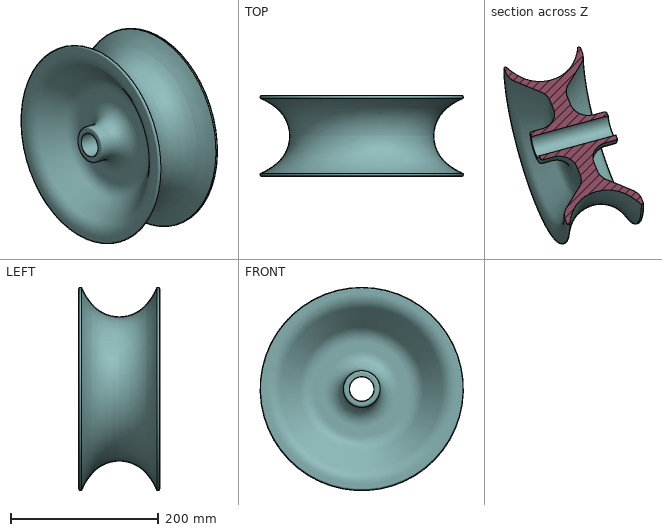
import cadquery as cq
import math


RIM_RADIUS = 138.0
HALF_WIDTH = 110.0 / 2
RIM_EDGE_FILLET = 2.5
RIM_ROUND_OVERRUN = math.radians(35)

GROOVE_FLOOR_RADIUS = 98.0
GROOVE_FLOOR_ARC_RADIUS = 49.0
GROOVE_FLOOR_HALF_WIDTH = 37.0

WEB_HALF_THICKNESS = 12.5
DISH_FILLET = 25.0
DISH_MOUTH_RADIUS = 128.5
DISH_WALL_ANGLE = math.radians(45)

HUB_RADIUS = 25.0
HUB_EDGE_FILLET = 3.0
HUB_ROOT_FILLET = 25.0
BORE_RADIUS = 16.5

SECTION_PLANE = cq.Plane(origin=(0, 0, 0), xDir=(0, 0, 1), normal=(-1, 0, 0))


def on_arc(center, radius, angle):
    """Point (radial, axial) on a circle, at an angle from the radial direction."""
    return (center[0] + radius * math.cos(angle), center[1] + radius * math.sin(angle))


def half_profile():
    """Open outline of the Y > 0 half of the section, from the bore round to the groove floor."""
    right_angle = math.pi / 2

    hub_edge_center = (HUB_RADIUS - HUB_EDGE_FILLET, HALF_WIDTH - HUB_EDGE_FILLET)
    hub_root_center = (HUB_RADIUS + HUB_ROOT_FILLET, WEB_HALF_THICKNESS + HUB_ROOT_FILLET)

    mouth_center = (DISH_MOUTH_RADIUS, HALF_WIDTH - DISH_FILLET)
    mouth_wall_angle = right_angle + DISH_WALL_ANGLE
    mouth_wall = on_arc(mouth_center, DISH_FILLET, mouth_wall_angle)
    root_wall_height = WEB_HALF_THICKNESS + DISH_FILLET * (1 - math.cos(DISH_WALL_ANGLE))
    root_wall_radius = mouth_wall[0] - (mouth_wall[1] - root_wall_height) / math.tan(DISH_WALL_ANGLE)
    root_center = (
        root_wall_radius - DISH_FILLET * math.sin(DISH_WALL_ANGLE),
        WEB_HALF_THICKNESS + DISH_FILLET,
    )
    root_wall_angle = DISH_WALL_ANGLE - right_angle

    rim_edge_center = (RIM_RADIUS - RIM_EDGE_FILLET, HALF_WIDTH - RIM_EDGE_FILLET)

    floor_center = (GROOVE_FLOOR_RADIUS + GROOVE_FLOOR_ARC_RADIUS, 0)
    flank_start_angle = math.pi - math.asin(GROOVE_FLOOR_HALF_WIDTH / GROOVE_FLOOR_ARC_RADIUS)
    flank_start = on_arc(floor_center, GROOVE_FLOOR_ARC_RADIUS, flank_start_angle)
    flank_end = on_arc(rim_edge_center, RIM_EDGE_FILLET, -RIM_ROUND_OVERRUN)
    chord = (flank_end[0] - flank_start[0], flank_end[1] - flank_start[1])
    chord_along_normal = -chord[0] * math.cos(flank_start_angle) - chord[1] * math.sin(flank_start_angle)
    flank_radius = (chord[0] ** 2 + chord[1] ** 2) / (2 * chord_along_normal)
    flank_center = on_arc(flank_start, -flank_radius, flank_start_angle)
    flank_end_angle = math.atan2(flank_end[1] - flank_center[1], flank_end[0] - flank_center[0])

    return (
        cq.Workplane(SECTION_PLANE)
        .moveTo(BORE_RADIUS, 0)
        .lineTo(BORE_RADIUS, HALF_WIDTH)
        .lineTo(hub_edge_center[0], HALF_WIDTH)
        .threePointArc(
            on_arc(hub_edge_center, HUB_EDGE_FILLET, right_angle / 2),
            (HUB_RADIUS, hub_edge_center[1]),
        )
        .lineTo(HUB_RADIUS, hub_root_center[1])
        .threePointArc(
            on_arc(hub_root_center, HUB_ROOT_FILLET, -1.5 * right_angle),
            (hub_root_center[0], WEB_HALF_THICKNESS),
        )
        .lineTo(root_center[0], WEB_HALF_THICKNESS)
        .threePointArc(
            on_arc(root_center, DISH_FILLET, (root_wall_angle - right_angle) / 2),
            on_arc(root_center, DISH_FILLET, root_wall_angle),
        )
        .lineTo(*mouth_wall)
        .threePointArc(
            on_arc(mouth_center, DISH_FILLET, (mouth_wall_angle + right_angle) / 2),
            (DISH_MOUTH_RADIUS, HALF_WIDTH),
        )
        .lineTo(rim_edge_center[0], HALF_WIDTH)
        .threePointArc(
            on_arc(rim_edge_center, RIM_EDGE_FILLET, 0),
            flank_end,
        )
        .threePointArc(
            on_arc(flank_center, flank_radius, (flank_end_angle + flank_start_angle) / 2),
            flank_start,
        )
        .threePointArc(
            on_arc(floor_center, GROOVE_FLOOR_ARC_RADIUS, (flank_start_angle + math.pi) / 2),
            (GROOVE_FLOOR_RADIUS, 0),
        )
    )


section = half_profile().mirrorX()
result = section.revolve(360, (0, 0, 0), (0, 1, 0))